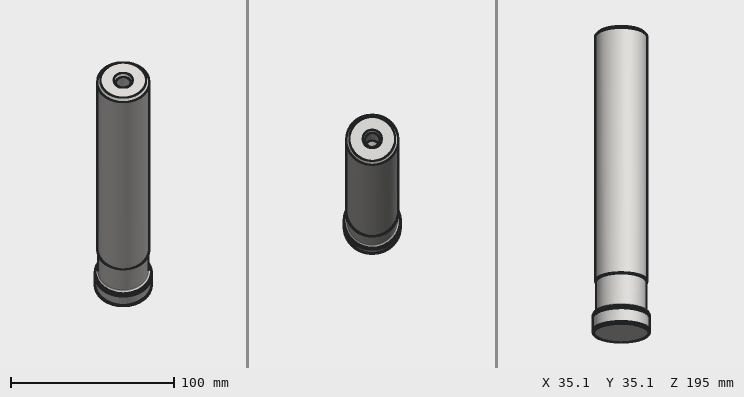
import cadquery as cq
import math

TOTAL_LENGTH = 195.0
SHAFT_DIAMETER = 32.0
TOP_CHAMFER = 2.0
NECK_DIAMETER = 31.0
NECK_TOP = 33.3
STEP_HEIGHT = 0.5
FILLET_RADIUS = 1.4

HOLE_DIAMETER = 9.0
HOLE_MOUTH_DIAMETER = 11.7
HOLE_MOUTH_ANGLE = 60.0
HOLE_DEPTH = 19.5
DRILL_POINT_ANGLE = 118.0

HEAD_DIAMETER = 35.1
HEAD_HEIGHT = 12.3
HEAD_CHAMFER_WIDTH = 0.5
HEAD_TOP_CHAMFER_HEIGHT = 1.2
HEAD_BOTTOM_CHAMFER_HEIGHT = 0.8
SEAT_DIAMETER = 33.5
RING_BOTTOM = 1.2
RING_TOP = 10.3
RING_CHAMFER = 0.4

SHAFT_RADIUS = SHAFT_DIAMETER / 2
NECK_RADIUS = NECK_DIAMETER / 2
HEAD_RADIUS = HEAD_DIAMETER / 2
SEAT_RADIUS = SEAT_DIAMETER / 2


def revolve(profile):
    """Revolve a closed (radius, height) profile about the Z axis."""
    return profile.close().revolve(360, (0, 0, 0), (0, 1, 0))


def make_centre_hole():
    """Drilled hole with a conical floor and a countersunk mouth."""
    radius = HOLE_DIAMETER / 2
    mouth_radius = HOLE_MOUTH_DIAMETER / 2
    mouth_depth = (mouth_radius - radius) / math.tan(math.radians(HOLE_MOUTH_ANGLE / 2))
    floor = TOTAL_LENGTH - HOLE_DEPTH
    point_depth = radius / math.tan(math.radians(DRILL_POINT_ANGLE / 2))
    profile = cq.Workplane("XZ").polyline([
        (0, floor - point_depth),
        (radius, floor),
        (radius, TOTAL_LENGTH - mouth_depth),
        (mouth_radius, TOTAL_LENGTH),
        (0, TOTAL_LENGTH),
    ])
    return revolve(profile)


def make_pin():
    """Shaft, reduced neck, filleted root and grooved head in one turned body."""
    profile = (
        cq.Workplane("XZ")
        .moveTo(0, 0)
        .lineTo(HEAD_RADIUS - HEAD_CHAMFER_WIDTH, 0)
        .lineTo(HEAD_RADIUS, HEAD_BOTTOM_CHAMFER_HEIGHT)
        .lineTo(HEAD_RADIUS, RING_BOTTOM)
        .lineTo(SEAT_RADIUS, RING_BOTTOM)
        .lineTo(SEAT_RADIUS, RING_TOP)
        .lineTo(HEAD_RADIUS, RING_TOP)
        .lineTo(HEAD_RADIUS, HEAD_HEIGHT - HEAD_TOP_CHAMFER_HEIGHT)
        .lineTo(HEAD_RADIUS - HEAD_CHAMFER_WIDTH, HEAD_HEIGHT)
        .lineTo(NECK_RADIUS + FILLET_RADIUS, HEAD_HEIGHT)
        .radiusArc((NECK_RADIUS, HEAD_HEIGHT + FILLET_RADIUS), FILLET_RADIUS)
        .lineTo(NECK_RADIUS, NECK_TOP)
        .lineTo(SHAFT_RADIUS, NECK_TOP + STEP_HEIGHT)
        .lineTo(SHAFT_RADIUS, TOTAL_LENGTH - TOP_CHAMFER)
        .lineTo(SHAFT_RADIUS - TOP_CHAMFER, TOTAL_LENGTH)
        .lineTo(0, TOTAL_LENGTH)
    )
    return revolve(profile).cut(make_centre_hole())


def make_ring():
    """Ring that fills the head groove, with small chamfers on its outer edges."""
    profile = cq.Workplane("XZ").polyline([
        (SEAT_RADIUS, RING_BOTTOM),
        (HEAD_RADIUS - RING_CHAMFER, RING_BOTTOM),
        (HEAD_RADIUS, RING_BOTTOM + RING_CHAMFER),
        (HEAD_RADIUS, RING_TOP - RING_CHAMFER),
        (HEAD_RADIUS - RING_CHAMFER, RING_TOP),
        (SEAT_RADIUS, RING_TOP),
    ])
    return revolve(profile)


pin = make_pin()
ring = make_ring()

result = cq.Compound.makeCompound([pin.val(), ring.val()])